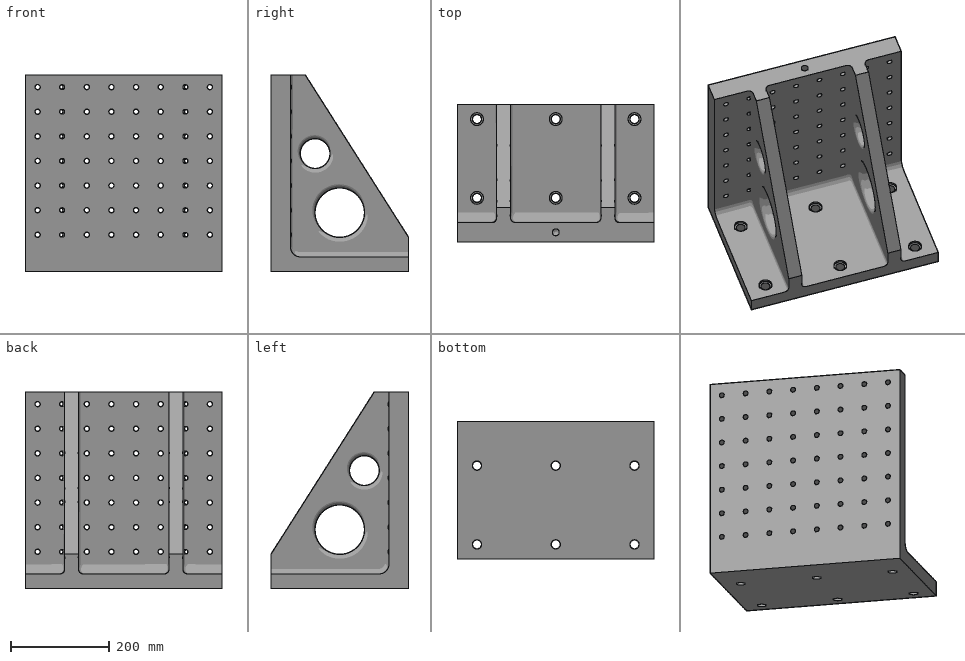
import cadquery as cq
import math

WIDTH = 400
DEPTH = 280
HEIGHT = 400
PLATE_THICKNESS = 40
BASE_THICKNESS = 30.0

RIB_OUTER_INSET = 80
RIB_THICKNESS = 28
RIB_TOP_Y = 70.0
RIB_REAR_HEIGHT = 70.0

CORNER_RADIUS = 20
RIB_FILLET = 10.0

RIB_HOLES = [(140, 120, 100, 10.0), (90.0, 240, 60, 9.5)]

GRID_COLUMNS = 8
GRID_ROWS = 7
GRID_PITCH = WIDTH / GRID_COLUMNS
GRID_DIAMETER = 10.0
GRID_OVERRUN = 0.2

MOUNT_DIAMETER = 18.0
MOUNT_BORE_DIAMETER = 26.0
MOUNT_BORE_DEPTH = 5.0
MOUNT_PITCH = 160
MOUNT_FRONT_Y = 90.0
MOUNT_COLUMNS = (-1, 0, 1)
MOUNT_ROWS = (0, 1)

TOP_HOLE_DIAMETER = 14.0
TOP_HOLE_DEPTH = 40

DRILL_POINT_ANGLE = 118


def make_envelope():
    """Side profile of plate, base and ribs, extruded over the full width."""
    return (
        cq.Workplane("YZ")
        .polyline([
            (0, 0),
            (DEPTH, 0),
            (DEPTH, RIB_REAR_HEIGHT),
            (RIB_TOP_Y, HEIGHT),
            (0, HEIGHT),
        ])
        .close()
        .extrude(WIDTH)
    )


def make_pocket(x_start, x_end, rib_sides):
    """Space behind the plate and above the base, rounded where it meets a rib."""
    pocket = (
        cq.Workplane("XY")
        .box(x_end - x_start, DEPTH, HEIGHT, centered=False)
        .translate((x_start, PLATE_THICKNESS, BASE_THICKNESS))
        .edges("<Y and <Z")
        .fillet(CORNER_RADIUS)
    )
    for side in rib_sides:
        pocket = pocket.faces(side).edges("<Z").fillet(RIB_FILLET)
    return pocket


def cut_pockets(body):
    """Open the two side pockets and the one between the ribs."""
    outer_face = RIB_OUTER_INSET
    inner_face = RIB_OUTER_INSET + RIB_THICKNESS
    pockets = [
        make_pocket(0, outer_face, [">X"]),
        make_pocket(inner_face, WIDTH - inner_face, ["<X", ">X"]),
        make_pocket(WIDTH - outer_face, WIDTH, ["<X"]),
    ]
    for pocket in pockets:
        body = body.cut(pocket)
    return body


def cut_rib_hole(body, y, z, diameter, mouth_radius):
    """Bore one lightening hole through both ribs and round its four mouths."""
    radius = diameter / 2
    body = body.cut(cq.Workplane("YZ").center(y, z).circle(radius).extrude(WIDTH))
    around_hole = cq.selectors.BoxSelector(
        (0, y - radius, z - radius),
        (WIDTH, y + radius, z + radius),
    )
    return body.edges(around_hole).edges("%CIRCLE").fillet(mouth_radius)


def make_drill(diameter, depth):
    """Cylinder from the origin along +Z to the given depth, ending in a drill point."""
    radius = diameter / 2
    point_length = radius / math.tan(math.radians(DRILL_POINT_ANGLE / 2))
    return (
        cq.Workplane("XZ")
        .polyline([(0, 0), (radius, 0), (radius, depth), (0, depth + point_length)])
        .close()
        .revolve(360, (0, 0), (0, 1))
    )


def cut_grid_holes(body):
    """Drill the plate; the drill points break through the rib fillets."""
    drill = make_drill(GRID_DIAMETER, PLATE_THICKNESS + GRID_OVERRUN)
    drill = drill.rotate((0, 0, 0), (1, 0, 0), -90)
    for column in range(GRID_COLUMNS):
        x = (column + 0.5) * GRID_PITCH
        for row in range(GRID_ROWS):
            z = HEIGHT - (row + 0.5) * GRID_PITCH
            body = body.cut(drill.translate((x, 0, z)))
    return body


def cut_mount_holes(body):
    """Drill the base and counterbore each hole from above."""
    centers = [
        (WIDTH / 2 + column * MOUNT_PITCH, MOUNT_FRONT_Y + row * MOUNT_PITCH)
        for column in MOUNT_COLUMNS
        for row in MOUNT_ROWS
    ]
    base_top = cq.Workplane("XY", origin=(0, 0, BASE_THICKNESS)).pushPoints(centers)
    body = body.cut(base_top.circle(MOUNT_DIAMETER / 2).extrude(-BASE_THICKNESS))
    return body.cut(base_top.circle(MOUNT_BORE_DIAMETER / 2).extrude(-MOUNT_BORE_DEPTH))


def cut_top_hole(body):
    """Drill down into the middle of the plate's top edge."""
    drill = make_drill(TOP_HOLE_DIAMETER, TOP_HOLE_DEPTH).rotate((0, 0, 0), (1, 0, 0), 180)
    return body.cut(drill.translate((WIDTH / 2, PLATE_THICKNESS / 2, HEIGHT)))


result = cut_pockets(make_envelope())
for rib_hole in RIB_HOLES:
    result = cut_rib_hole(result, *rib_hole)
result = cut_grid_holes(result)
result = cut_mount_holes(result)
result = cut_top_hole(result)